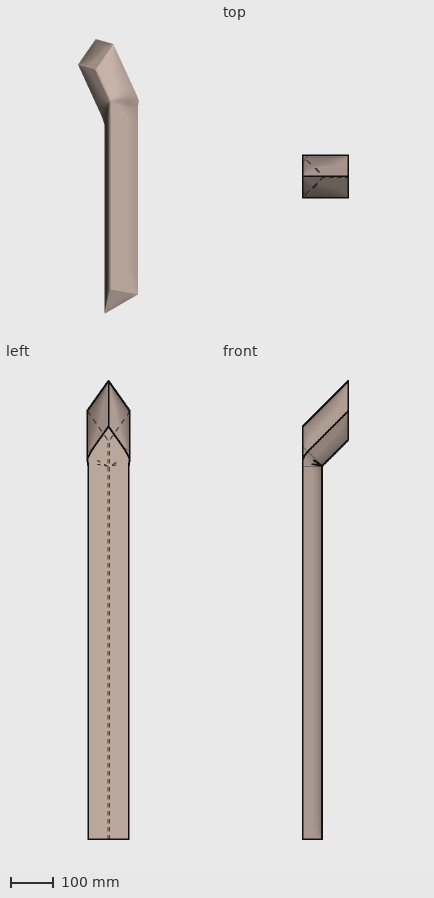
import cadquery as cq
import math

OVERALL_X = 107.11
OVERALL_Z = 1073.75
DIAGONAL = 100.0
INNER_FLAT = 4.0
POST_DEPTH = 45.9
BEND_ANGLE = 45.0

half_diagonal = DIAGONAL / 2
half_flat = INNER_FLAT / 2
section_depth = DIAGONAL - half_flat
side_corner_depth = half_diagonal - half_flat

bend = math.radians(BEND_ANGLE)
bend_x = POST_DEPTH
arm_run = OVERALL_X - bend_x
bend_z = OVERALL_Z - arm_run / math.tan(bend) - section_depth / math.sin(bend)

arm_length = (arm_run + section_depth * math.cos(bend)) / math.sin(bend)


def bar_section(tilt_degrees):
    """Bar section at the bend, tilted about the bend axis along its inner flat."""
    tilt = math.radians(tilt_degrees)
    plane = cq.Plane(
        origin=(bend_x, 0, bend_z),
        xDir=(math.cos(tilt), 0, -math.sin(tilt)),
        normal=(math.sin(tilt), 0, math.cos(tilt)),
    )
    corners = [
        (0, -half_flat),
        (0, half_flat),
        (-side_corner_depth, half_diagonal),
        (-section_depth, 0),
        (-side_corner_depth, -half_diagonal),
    ]
    return cq.Workplane(plane).polyline(corners).close()


def bent_bar():
    """Upright post, swept bend and straight tilted arm."""
    post = bar_section(0).extrude(-bend_z)
    elbow = bar_section(0).revolve(BEND_ANGLE, (0, 0), (0, 1))
    arm = bar_section(BEND_ANGLE).extrude(arm_length)
    return post.union(elbow).union(arm)


def trim_envelope():
    """Block whose two X faces cut the back of the bar and the end of the arm."""
    return cq.Workplane("XY").box(OVERALL_X, DIAGONAL, OVERALL_Z, centered=(False, True, False))


result = bent_bar().intersect(trim_envelope())